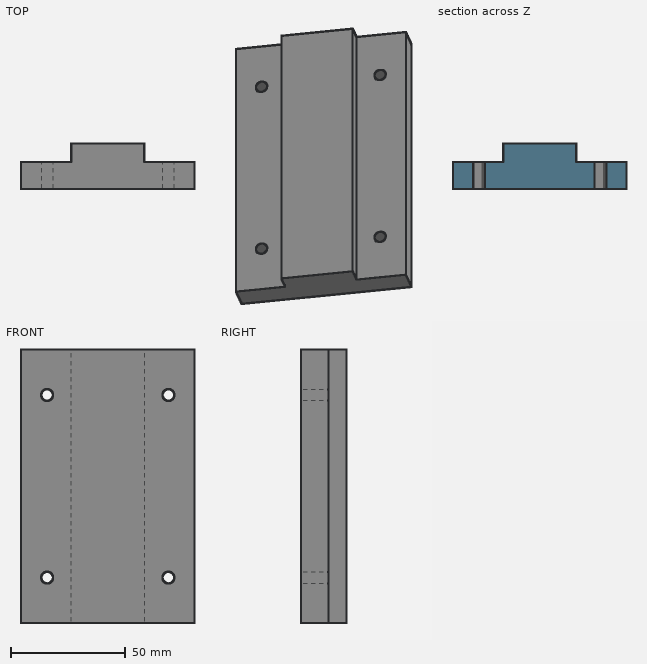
import cadquery as cq

plate_width = 76.2
plate_thickness = 12.0
height = 120.0

total_depth = 20.0
rib_width = 32.0
rib_depth = total_depth - plate_thickness

hole_diameter = 5.0
hole_spacing_x = 53.2
hole_spacing_z = 80.0

plate = cq.Workplane("XY").box(
    plate_width, plate_thickness, height, centered=(True, False, True)
)

rib = (
    cq.Workplane("XY")
    .box(rib_width, rib_depth, height, centered=(True, False, True))
    .translate((0, plate_thickness, 0))
)

holes = (
    cq.Workplane("XZ")
    .rect(hole_spacing_x, hole_spacing_z, forConstruction=True)
    .vertices()
    .circle(hole_diameter / 2)
    .extrude(-plate_thickness)
)

result = plate.union(rib).cut(holes)